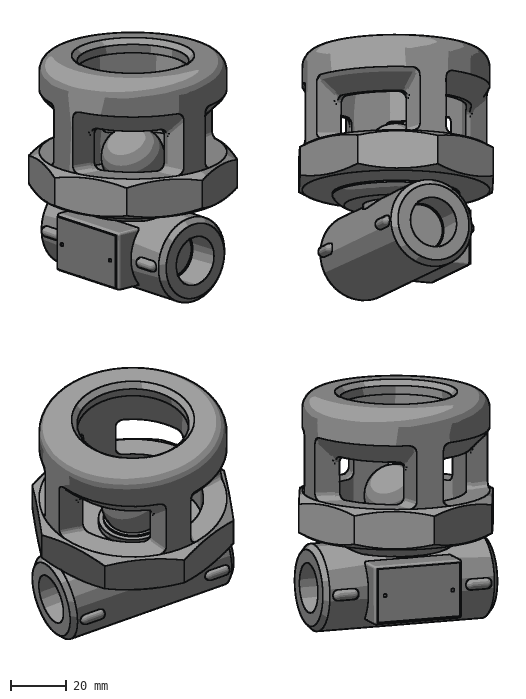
import cadquery as cq
import math


tube_radius = 16.0
tube_length = 68.0
tube_chamfer = 2.0
tube_bore_radius = 9.1
tube_bore_depth = 12.0
bore_floor_radius = 17.5 / 2

guard_radius = 68.0 / 2
overall_height = 86
guard_top = overall_height - tube_radius
nut_corner_radius = 75.8 / 2
nut_sides = 8
nut_bottom = 18.6
nut_height = 15.0
nut_top = nut_bottom + nut_height
nut_chamfer_angle = 30
hub_radius = 59.85 / 2
hub_bottom = 17.2
ring_fillet = 6.0
cage_bore_radius = 51.0 / 2
lip_radius = 40.5 / 2
lip_height = 5.2
lip_chamfer = 2.0

window_count = 4
post_outer_half_width = 5.1
post_inner_half_width = 6.7
post_taper_start = 26.5
post_taper = (post_inner_half_width - post_outer_half_width) / (guard_radius - post_taper_start)
roof_inner_radius = math.hypot(post_taper_start, post_inner_half_width)
roof_inner_height = 49.6
roof_outer_radius = 33.0
roof_outer_height = 55.4
roof_rim_height = 57.0
window_fillet = 2.75
window_reach = 43.0

flange_radius = 50.8 / 2
flange_seat = 18.9
flange_thickness = 3.0
neck_radius = 23.1
bowl_bottom = 12.9
bowl_bottom_radius = 18.8
bowl_top = 16.6
bowl_bulge = 0.5
stem_radius = 25.0 / 2
lower_stem_radius = 12.0
stem_top = 24.2
collar_radius = 21.4 / 2
collar_height = 0.7
ball_radius = 11.5
ball_height = 31.6

block_width = 34.05
block_height = 21.7
block_front = 21.85
block_fillet = 0.95
plate_width = 31.8
plate_height = 19.8
plate_thickness = 0.8
stud_radius = 0.6
stud_spacing = 26.3

bar_radius = 4.0 / 2
bar_length = 10.0
bar_offset = 25.9


def nut():
    """Octagonal nut, conically chamfered on both faces down to the guard radius."""
    blank = (
        cq.Workplane("XY", origin=(0, 0, nut_bottom))
        .polygon(nut_sides, 2 * nut_corner_radius)
        .extrude(nut_height)
    )
    chamfer_drop = (nut_corner_radius - guard_radius) * math.tan(math.radians(nut_chamfer_angle))
    envelope = (
        cq.Workplane("XZ")
        .moveTo(0, nut_bottom)
        .lineTo(guard_radius, nut_bottom)
        .lineTo(nut_corner_radius, nut_bottom + chamfer_drop)
        .lineTo(nut_corner_radius, nut_top - chamfer_drop)
        .lineTo(guard_radius, nut_top)
        .lineTo(0, nut_top)
        .close()
        .revolve()
    )
    return blank.intersect(envelope)


def guard_hub():
    """Shallow cone below the nut, narrowing to the neck of the sensor."""
    return (
        cq.Workplane("XZ")
        .moveTo(0, nut_bottom)
        .lineTo(hub_radius, nut_bottom)
        .lineTo(neck_radius, hub_bottom)
        .lineTo(0, hub_bottom)
        .close()
        .revolve()
    )


def guard_bore():
    """Everything removed along the axis: neck hole, cage bore, lip and lip chamfer."""
    lip_bottom = guard_top - lip_height
    return (
        cq.Workplane("XZ")
        .moveTo(0, hub_bottom)
        .lineTo(neck_radius, hub_bottom)
        .lineTo(neck_radius, flange_seat)
        .lineTo(cage_bore_radius, flange_seat)
        .lineTo(cage_bore_radius, lip_bottom)
        .lineTo(lip_radius, lip_bottom)
        .lineTo(lip_radius, guard_top - lip_chamfer)
        .lineTo(lip_radius + lip_chamfer, guard_top)
        .lineTo(0, guard_top)
        .close()
        .revolve()
    )


def beside_posts(low, high):
    """Selector for the cutter edges along both posts whose centre lies between two heights."""
    margin = 0.1
    near = post_inner_half_width + margin
    beside_x_post = cq.selectors.BoxSelector((0, 0, low - margin), (window_reach, near, high + margin))
    beside_y_post = cq.selectors.BoxSelector((0, 0, low - margin), (near, window_reach, high + margin))
    return beside_x_post + beside_y_post


def window():
    """Cutter for one window, between the post on +X and the post on +Y."""
    reach_half_width = post_outer_half_width - post_taper * (window_reach - guard_radius)
    plan = (
        cq.Workplane("XY", origin=(0, 0, nut_top))
        .moveTo(window_reach, reach_half_width)
        .lineTo(post_taper_start, post_inner_half_width)
        .lineTo(post_inner_half_width, post_inner_half_width)
        .lineTo(post_inner_half_width, post_taper_start)
        .lineTo(reach_half_width, window_reach)
        .lineTo(window_reach, window_reach)
        .close()
        .extrude(guard_top - nut_top)
    )
    under_roof = (
        cq.Workplane("XZ")
        .moveTo(0, nut_top)
        .lineTo(2 * window_reach, nut_top)
        .lineTo(2 * window_reach, roof_rim_height)
        .lineTo(guard_radius, roof_rim_height)
        .lineTo(roof_outer_radius, roof_outer_height)
        .lineTo(roof_inner_radius, roof_inner_height)
        .lineTo(0, roof_inner_height)
        .close()
        .revolve()
    )
    cutter = plan.intersect(under_roof)
    cutter = cutter.edges(beside_posts(roof_inner_height, roof_rim_height)).fillet(window_fillet)
    return cutter.edges(beside_posts(nut_top, nut_top)).fillet(window_fillet)


def guard():
    cage = (
        cq.Workplane("XY", origin=(0, 0, nut_top))
        .circle(guard_radius)
        .extrude(guard_top - nut_top)
        .faces(">Z")
        .edges()
        .fillet(ring_fillet)
    )
    body = nut().union(guard_hub()).union(cage).cut(guard_bore())
    cutter = window()
    for index in range(window_count):
        body = body.cut(cutter.rotate((0, 0, 0), (0, 0, 1), index * 360 / window_count))
    return body


def sensor_core():
    """Turned part on the guard axis: stem, bowl, neck, flange and collar under the ball."""
    flange_top = flange_seat + flange_thickness
    side_run = neck_radius - bowl_bottom_radius
    side_rise = bowl_top - bowl_bottom
    side_length = math.hypot(side_run, side_rise)
    bowl_side_middle = (
        (neck_radius + bowl_bottom_radius) / 2 + bowl_bulge * side_rise / side_length,
        (bowl_top + bowl_bottom) / 2 - bowl_bulge * side_run / side_length,
    )
    turned = (
        cq.Workplane("XZ")
        .lineTo(lower_stem_radius, 0)
        .lineTo(lower_stem_radius, bowl_bottom)
        .lineTo(bowl_bottom_radius, bowl_bottom)
        .threePointArc(bowl_side_middle, (neck_radius, bowl_top))
        .lineTo(neck_radius, flange_seat)
        .lineTo(flange_radius, flange_seat)
        .lineTo(flange_radius, flange_top)
        .lineTo(stem_radius, flange_top)
        .lineTo(stem_radius, stem_top)
        .lineTo(collar_radius, stem_top)
        .lineTo(collar_radius, stem_top + collar_height)
        .lineTo(0, stem_top + collar_height)
        .close()
        .revolve()
    )
    ball = cq.Workplane("XY").sphere(ball_radius).translate((0, 0, ball_height))
    return turned.union(ball)


def tube():
    return (
        cq.Workplane("YZ")
        .circle(tube_radius)
        .extrude(tube_length / 2, both=True)
        .faces("<X or >X")
        .chamfer(tube_chamfer)
    )


def tube_bore(side):
    """Blind bore in one end of the tube (side is -1 or 1), chamfered to a smaller floor."""
    mouth = tube_length / 2
    floor = mouth - tube_bore_depth
    floor_chamfer = tube_bore_radius - bore_floor_radius
    return (
        cq.Workplane("XY")
        .moveTo(side * mouth, 0)
        .lineTo(side * mouth, tube_bore_radius)
        .lineTo(side * (floor + floor_chamfer), tube_bore_radius)
        .lineTo(side * floor, bore_floor_radius)
        .lineTo(side * floor, 0)
        .close()
        .revolve(360, (0, 0, 0), (1, 0, 0))
    )


def block():
    """Rounded block reaching out of the tube to -Y, with a name plate and two studs."""
    body = (
        cq.Workplane("XY")
        .box(block_width, block_front, block_height)
        .translate((0, -block_front / 2, 0))
        .edges("|Y or <Y")
        .fillet(block_fillet)
    )
    plate = (
        cq.Workplane("XZ", origin=(0, -block_front, 0))
        .rect(plate_width, plate_height)
        .extrude(plate_thickness)
    )
    body = body.union(plate)
    for side in (-1, 1):
        stud_place = (side * stud_spacing / 2, -block_front - plate_thickness, 0)
        body = body.union(cq.Workplane("XY").sphere(stud_radius).translate(stud_place))
    return body


def bar():
    """Round bar along X with hemispherical ends."""
    straight_half = bar_length / 2 - bar_radius
    return (
        cq.Workplane("XY")
        .moveTo(-bar_length / 2, 0)
        .threePointArc(
            (-straight_half - bar_radius * math.sqrt(0.5), bar_radius * math.sqrt(0.5)),
            (-straight_half, bar_radius),
        )
        .lineTo(straight_half, bar_radius)
        .threePointArc(
            (straight_half + bar_radius * math.sqrt(0.5), bar_radius * math.sqrt(0.5)),
            (bar_length / 2, 0),
        )
        .close()
        .revolve(360, (0, 0, 0), (1, 0, 0))
    )


def sensor():
    body = sensor_core().union(tube()).union(block())
    for end in (-1, 1):
        for side in (-1, 1):
            body = body.union(bar().translate((end * bar_offset, side * tube_radius, 0)))
        body = body.cut(tube_bore(end))
    return body


result = cq.Compound.makeCompound([guard().val(), sensor().val()])